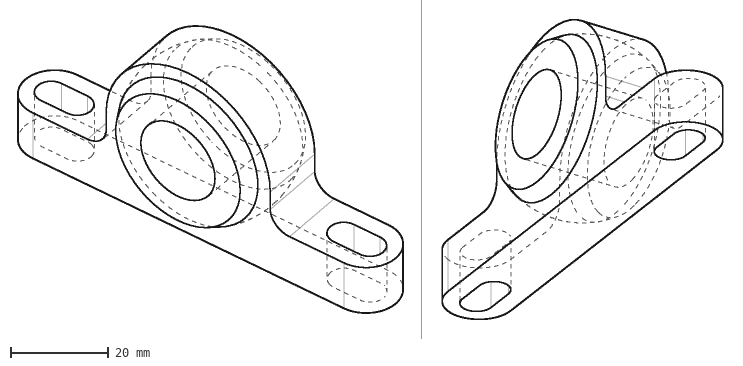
import cadquery as cq
import math

base_length = 95.25
housing_width = 15.24
hub_radius = 21.08
overall_height = 42.84
base_height = 12.19
hub_fillet_radius = 4.9
center_height = overall_height - hub_radius

slot_length = 13.6
slot_width = 6.9
slot_spacing = 75.2

ball_radius = 19.48
ball_width = 22.225
bore_diameter = 19.05

base_bottom = -center_height
base_top = base_bottom + base_height


def make_ball_zone(inner_radius, width):
    """Ring about the Y axis, spherical outside, with flat ends and a straight bore."""
    half_width = width / 2
    end_radius = math.sqrt(ball_radius**2 - half_width**2)
    return (
        cq.Workplane("XY")
        .moveTo(inner_radius, -half_width)
        .lineTo(end_radius, -half_width)
        .threePointArc((ball_radius, 0), (end_radius, half_width))
        .lineTo(inner_radius, half_width)
        .close()
        .revolve(360, (0, 0, 0), (0, 1, 0))
    )


def make_base():
    """Long foot with fully rounded ends."""
    return (
        cq.Workplane("XY", origin=(0, 0, base_bottom))
        .slot2D(base_length, housing_width)
        .extrude(base_height)
    )


def make_hub():
    """Round-topped hub whose sides flow into the base through fillets."""
    fillet_end = hub_radius + hub_fillet_radius
    fillet_top = base_top + hub_fillet_radius
    return (
        cq.Workplane("XZ")
        .moveTo(-fillet_end, base_bottom)
        .lineTo(fillet_end, base_bottom)
        .lineTo(fillet_end, base_top)
        .radiusArc((hub_radius, fillet_top), hub_fillet_radius)
        .lineTo(hub_radius, 0)
        .threePointArc((0, hub_radius), (-hub_radius, 0))
        .lineTo(-hub_radius, fillet_top)
        .radiusArc((-fillet_end, base_top), hub_fillet_radius)
        .close()
        .extrude(housing_width / 2, both=True)
    )


def make_mounting_slots():
    """Cutters for the two slots, lengthwise along X."""
    return (
        cq.Workplane("XY", origin=(0, 0, base_bottom))
        .pushPoints([(side * slot_spacing / 2, 0) for side in (-1, 1)])
        .slot2D(slot_length, slot_width)
        .extrude(base_height)
    )


def make_housing():
    """Base and hub with the mounting slots and the spherical socket."""
    block = make_base().union(make_hub())
    socket = make_ball_zone(0, housing_width)
    return block.cut(make_mounting_slots()).cut(socket)


def make_bearing_insert():
    """Ball with flat ends and a bore from end to end."""
    return make_ball_zone(bore_diameter / 2, ball_width)


housing = make_housing()
bearing_insert = make_bearing_insert()

result = cq.Compound.makeCompound([housing.solids().val(), bearing_insert.solids().val()])